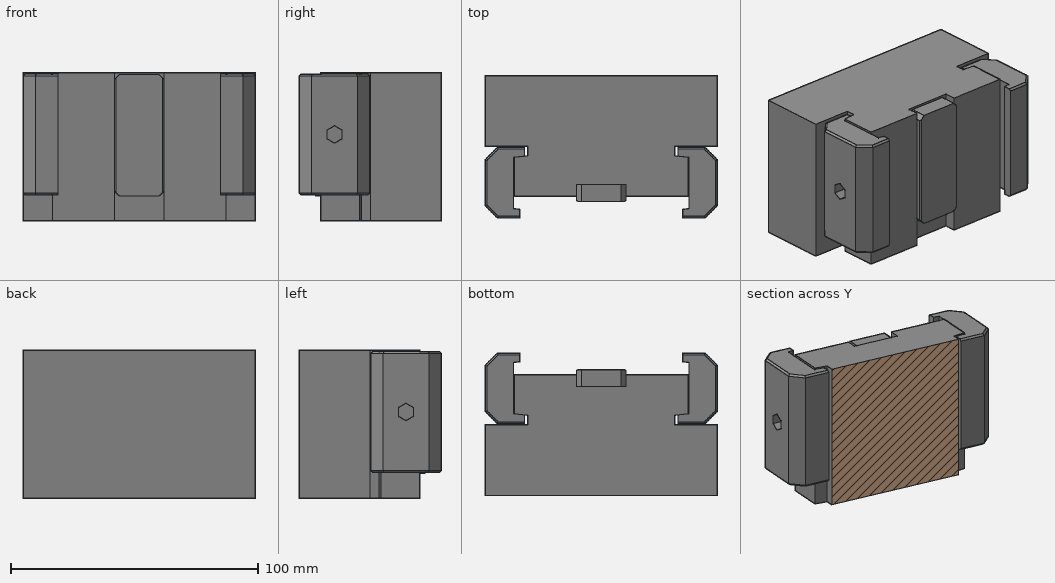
import cadquery as cq
import math

width = 94.0
depth = 57.6
height = 60.0

slab_depth = 28.7
rail_width = 70.3
rail_front = 48.9
rail_edge = 33.1
web_width = 59.6
lip_angle = 7.0

jaw_top_gap = 0.6
jaw_height = 48.9
jaw_back = 29.0
jaw_thickness = 11.6
jaw_bevel = 5.0
jaw_edge_chamfer = 0.75
back_hook_reach = 4.4
front_hook_reach = 2.5
front_hook_start = 53.8
socket_flats = 6.1
socket_depth = 5.6
socket_y = 43.2

channel_width = 20.1
channel_floor = 44.0
pad_height = 49.1
pad_top_gap = 0.8
pad_front = 50.95
pad_corner_chamfer = 2.0
pad_edge_chamfer = 0.6

half_width = width / 2
lip_slope = math.tan(math.radians(lip_angle))
groove_bottom_x = web_width / 2
jaw_inner = half_width - jaw_thickness
back_hook_tip = jaw_inner - back_hook_reach
front_hook_tip = jaw_inner - front_hook_reach
jaw_bottom = height - jaw_top_gap - jaw_height


def lip_y(x):
    """Y of the sloping rail lip at distance x from the symmetry plane."""
    return -rail_edge + lip_slope * (rail_width / 2 - x)


def mirrored_pair(right_half):
    """The given solid joined with its mirror image across X = 0."""
    return right_half.union(right_half.mirror("YZ"))


def make_block():
    """Slab and rail with the side grooves and the front channel."""
    half = (
        cq.Workplane("XY")
        .moveTo(0, 0)
        .lineTo(half_width, 0)
        .lineTo(half_width, -slab_depth)
        .lineTo(groove_bottom_x, -slab_depth)
        .lineTo(groove_bottom_x, lip_y(groove_bottom_x))
        .lineTo(rail_width / 2, -rail_edge)
        .lineTo(rail_width / 2, -rail_front)
        .lineTo(0, -rail_front)
        .close()
        .extrude(height)
    )
    channel = cq.Workplane("XY").box(
        channel_width, rail_front - channel_floor, height, centered=(True, False, False)
    )
    return mirrored_pair(half).cut(channel.translate((0, -rail_front, 0)))


def make_jaw():
    """Right-hand jaw whose back hook bears on the rail lip."""
    front_hook_drop = lip_slope * front_hook_reach
    jaw = (
        cq.Workplane("XY", origin=(0, 0, jaw_bottom))
        .moveTo(back_hook_tip, -jaw_back)
        .lineTo(half_width - jaw_bevel, -jaw_back)
        .lineTo(half_width, -jaw_back - jaw_bevel)
        .lineTo(half_width, -depth + jaw_bevel)
        .lineTo(half_width - jaw_bevel, -depth)
        .lineTo(front_hook_tip, -depth)
        .lineTo(front_hook_tip, -front_hook_start - front_hook_drop)
        .lineTo(jaw_inner, -front_hook_start)
        .lineTo(jaw_inner, lip_y(jaw_inner))
        .lineTo(back_hook_tip, lip_y(back_hook_tip))
        .close()
        .extrude(jaw_height)
    )
    outer_faces = jaw.faces(">X or >Y or <Y or >(1,1,0) or >(1,-1,0)")
    jaw = outer_faces.edges("#Z").chamfer(jaw_edge_chamfer)
    socket = (
        cq.Workplane("YZ", origin=(half_width, -socket_y, jaw_bottom + jaw_height / 2))
        .polygon(6, socket_flats, circumscribed=True)
        .extrude(-socket_depth)
    )
    return jaw.cut(socket)


def make_pad():
    """Upright pad filling the channel width and standing proud of the rail."""
    pad = cq.Workplane("XY").box(
        channel_width, pad_front - channel_floor, pad_height, centered=(True, False, False)
    )
    pad = pad.edges("|Y").chamfer(pad_corner_chamfer)
    pad = pad.faces("<Y").edges("|Z").chamfer(pad_edge_chamfer)
    return pad.translate((0, -pad_front, height - pad_top_gap - pad_height))


result = make_block().union(mirrored_pair(make_jaw())).union(make_pad())